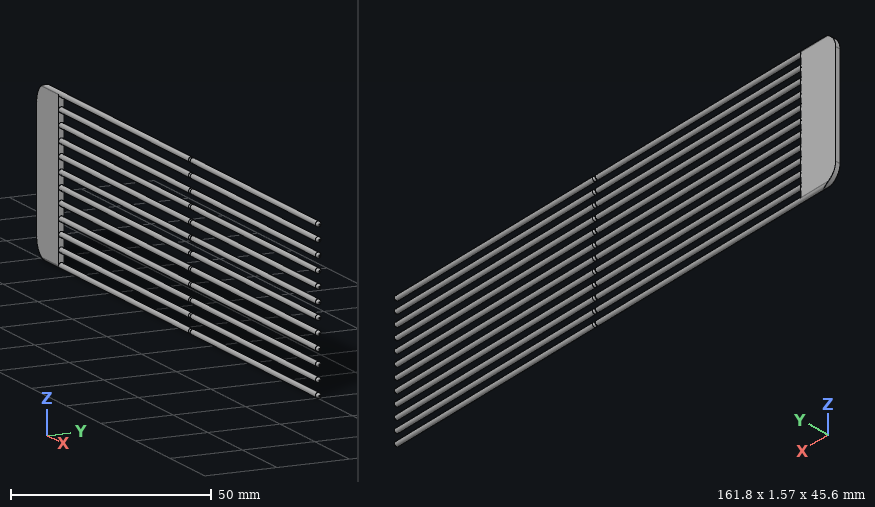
import cadquery as cq

total_length = 161.8
total_height = 45.6
pin_diameter = 1.57
pin_radius = pin_diameter / 2
pin_count = 12
left_end = -total_length / 2
right_end = total_length / 2

outer_pin_z = total_height / 2 - pin_radius
pin_pitch = 2 * outer_pin_z / (pin_count - 1)

plate_width = 12.8
plate_height = 2 * outer_pin_z
corner_radius = 5.5

groove_x = left_end + 88.4
groove_depth = 0.57
groove_half_width = 0.5
tip_length = 0.6
tip_radius = 0.2


def make_plate():
    """Flat plate, still with square corners."""
    return (
        cq.Workplane("XY")
        .box(plate_width, pin_diameter, plate_height)
        .translate((left_end + plate_width / 2, 0, 0))
    )


def make_pin(start_x, z):
    """Round pin along X, turned from its half profile."""
    return (
        cq.Workplane("XZ")
        .moveTo(start_x, 0)
        .lineTo(start_x, pin_radius)
        .lineTo(groove_x - groove_half_width, pin_radius)
        .lineTo(groove_x, pin_radius - groove_depth)
        .lineTo(groove_x + groove_half_width, pin_radius)
        .lineTo(right_end - tip_length, pin_radius)
        .lineTo(right_end, tip_radius)
        .lineTo(right_end, 0)
        .close()
        .revolve(360, (0, 0, 0), (1, 0, 0))
        .translate((0, 0, z))
    )


def make_envelope():
    """Block around the whole part, rounded at the two corners of the plate end."""
    return (
        cq.Workplane("XY")
        .box(total_length, 2 * pin_diameter, total_height)
        .edges("|Y and <X")
        .fillet(corner_radius)
    )


result = make_plate()
for index in range(pin_count):
    is_outer = index in (0, pin_count - 1)
    start_x = left_end if is_outer else left_end + plate_width
    result = result.union(make_pin(start_x, index * pin_pitch - outer_pin_z))

result = result.intersect(make_envelope())